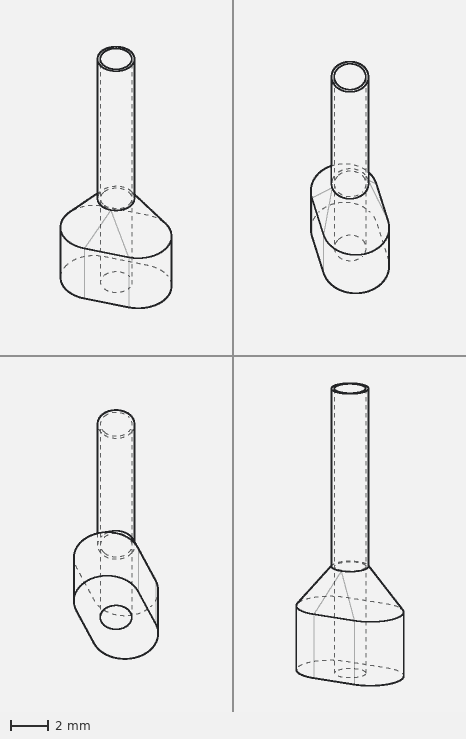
import cadquery as cq

total_height = 16.0
collar_length = 6.1
collar_width = 3.6
sleeve_height = 3.6
collar_height = 6.0
tube_diameter = 2.0
bore_diameter = 1.7

tube_radius = tube_diameter / 2
end_radius = collar_width / 2
end_offset = collar_length / 2 - end_radius
taper_height = collar_height - sleeve_height


def half_taper(side):
    """Half of an oblique cone leaning from a rounded collar end (side -1 or +1) to the tube."""

    def half_disc(sketch, center_x, radius):
        return (
            sketch.moveTo(center_x, -radius)
            .threePointArc((center_x + side * radius, 0), (center_x, radius))
            .close()
        )

    lower = half_disc(cq.Workplane("XY").workplane(offset=sleeve_height), side * end_offset, end_radius)
    sections = half_disc(lower.workplane(offset=taper_height), 0, tube_radius)
    return sections.loft(ruled=True)


def middle_wedge():
    """Flat-sided wedge between the half cones, narrowing to a ridge at the collar top."""
    triangle = (
        cq.Workplane("XZ")
        .polyline([(-end_offset, sleeve_height), (end_offset, sleeve_height), (0, collar_height)])
        .close()
        .extrude(end_radius, both=True)
    )
    width_profile = (
        cq.Workplane("YZ")
        .polyline([
            (-end_radius, sleeve_height),
            (end_radius, sleeve_height),
            (tube_radius, collar_height),
            (-tube_radius, collar_height),
        ])
        .close()
        .extrude(end_offset, both=True)
    )
    return triangle.intersect(width_profile)


def make_collar():
    """Rounded-end sleeve with a taper up to the tube and a bore right through."""
    collar = cq.Workplane("XY").slot2D(collar_length, collar_width).extrude(sleeve_height)
    collar = collar.union(middle_wedge())
    for side in (-1, 1):
        collar = collar.union(half_taper(side))
    bore = cq.Workplane("XY").circle(bore_diameter / 2).extrude(collar_height)
    return collar.cut(bore).solids()


def make_tube():
    """Thin-walled tube from the collar top to the full height."""
    return (
        cq.Workplane("XY")
        .workplane(offset=collar_height)
        .circle(tube_radius)
        .circle(bore_diameter / 2)
        .extrude(total_height - collar_height)
    )


collar = make_collar()
tube = make_tube()

result = cq.Compound.makeCompound([collar.val(), tube.val()])